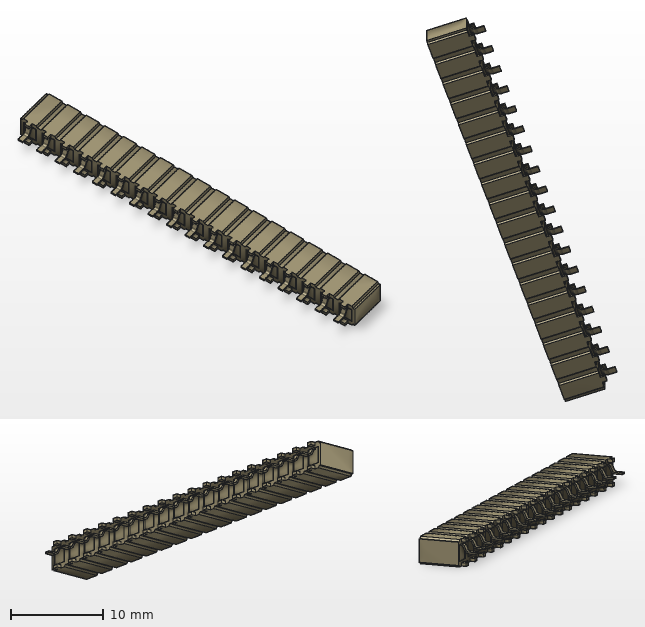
import cadquery as cq
import math

length = 45.7
height = 3.05
overall_depth = 6.25
positions = 18
pitch = length / positions

body_depth = 4.55
core_height = 2.6
rib_base_width = 2.05
rib_top_width = 1.75

tab_width = 0.65
tab_reach = 0.55
tab_thickness = 0.35

window_width = 1.8
window_floor_width = 1.5
window_height = 1.85
window_depth = 0.05

embed = 0.45

lead_width = tab_width
lead_thickness = 0.2
lead_bend_angle = math.radians(65)
upper_bend_radius = 0.25
lower_bend_radius = 0.4
lower_bend_end = 0.82
lead_root_z = window_height / 2 - lead_thickness / 2

position_centres = [(i + 0.5) * pitch - length / 2 for i in range(positions)]


def make_housing():
    """Core and ribs as one XZ outline, mirrored top to bottom and extruded back from y = 0."""
    upper = [(-length / 2, core_height / 2)]
    for x in position_centres:
        upper += [
            (x - rib_base_width / 2, core_height / 2),
            (x - rib_top_width / 2, height / 2),
            (x + rib_top_width / 2, height / 2),
            (x + rib_base_width / 2, core_height / 2),
        ]
    upper.append((length / 2, core_height / 2))
    lower = [(x, -z) for x, z in reversed(upper)]
    return cq.Workplane("XZ").polyline(upper + lower).close().extrude(-body_depth)


def make_window():
    """Cutter for one front window: its sides narrow from the front face to the floor."""
    outline = [
        (-window_width / 2, 0),
        (window_width / 2, 0),
        (window_floor_width / 2, window_depth),
        (-window_floor_width / 2, window_depth),
    ]
    prism = cq.Workplane("XY").polyline(outline).close().extrude(window_height)
    return prism.translate((0, 0, -window_height / 2))


def make_tab(side):
    """One tab flush with the rib top (side = 1) or the rib underside (side = -1)."""
    tab = cq.Workplane("XY").box(tab_width, tab_reach + embed, tab_thickness)
    centre_y = (embed - tab_reach) / 2
    return tab.translate((0, centre_y, side * (height - tab_thickness) / 2))


def make_lead():
    """Flat strip swept along a straight root, two opposite bends and a level foot at z = 0."""
    sine = math.sin(lead_bend_angle)
    cosine = math.cos(lead_bend_angle)
    half_sine = math.sin(lead_bend_angle / 2)
    half_cosine = math.cos(lead_bend_angle / 2)

    bend_radii = upper_bend_radius + lower_bend_radius
    slope_length = (lead_root_z - bend_radii * (1 - cosine)) / sine
    upper_bend_y = -lower_bend_end + bend_radii * sine + slope_length * cosine

    def upper_bend_point(s, c):
        return (upper_bend_y - upper_bend_radius * s, lead_root_z - upper_bend_radius * (1 - c))

    def lower_bend_point(s, c):
        return (-lower_bend_end + lower_bend_radius * s, lower_bend_radius * (1 - c))

    path = (
        cq.Workplane("YZ")
        .moveTo(embed, lead_root_z)
        .lineTo(upper_bend_y, lead_root_z)
        .threePointArc(upper_bend_point(half_sine, half_cosine), upper_bend_point(sine, cosine))
        .lineTo(*lower_bend_point(sine, cosine))
        .threePointArc(lower_bend_point(half_sine, half_cosine), (-lower_bend_end, 0))
        .lineTo(body_depth - overall_depth, 0)
    )
    section = cq.Workplane("XZ", origin=(0, embed, lead_root_z)).rect(lead_width, lead_thickness)
    return section.sweep(path)


def repeat(shape):
    """Copies of one shape at every position, as a single compound."""
    copies = [shape.val().translate(cq.Vector(x, 0, 0)) for x in position_centres]
    return cq.Workplane(obj=cq.Compound.makeCompound(copies))


housing = make_housing().cut(repeat(make_window()))
result = housing.union(repeat(make_tab(1))).union(repeat(make_tab(-1))).union(repeat(make_lead()))